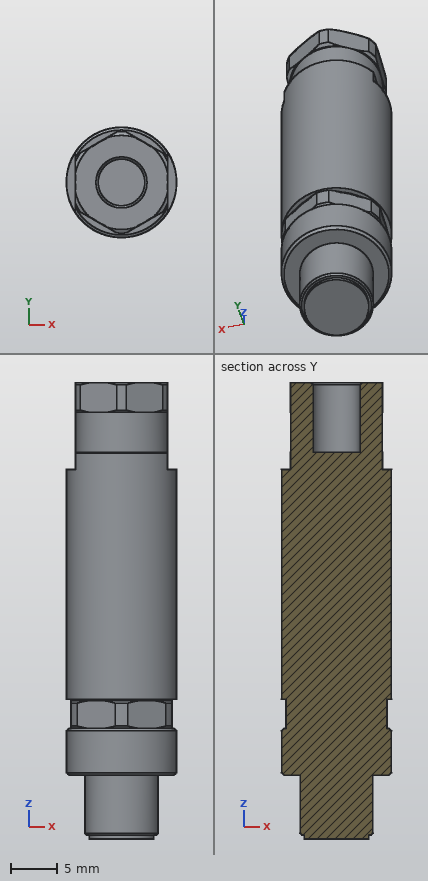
import cadquery as cq

TIP_HEIGHT = 0.45
COLLAR_BOTTOM = 6.95
COLLAR_TOP = 12.05
NUT_TOP = 15.05
BODY_BOTTOM = 15.2
BODY_TOP = 42.05
CAP_BOTTOM = 46.4
TOTAL_HEIGHT = 49.6

BODY_DIAMETER = 12.0
NECK_DIAMETER = 10.0
PLUG_DIAMETER = 8.0
TIP_DIAMETER = 7.05
PLUG_CHAMFER = 0.2
COLLAR_CHAMFER = 0.3
BODY_RIM_WIDTH = 0.3
BODY_RIM_HEIGHT = 0.15

CAP_FLATS = NECK_DIAMETER
CAP_CORNERS = 11.0
NUT_FLATS = 11.0
NUT_CORNERS = BODY_DIAMETER
SPACER_DIAMETER = NUT_FLATS
HEX_CHAMFER_WIDTH = 0.4
HEX_CHAMFER_HEIGHT = 0.25

WRENCH_FLATS = NECK_DIAMETER
WRENCH_HEIGHT = 1.9

BORE_DIAMETER = 5.05
BORE_DEPTH = TOTAL_HEIGHT - BODY_TOP
BORE_CHAMFER = 0.25


def cylinder(diameter, bottom, top):
    return cq.Workplane("XY").workplane(offset=bottom).circle(diameter / 2).extrude(top - bottom)


def chamfered_hexagon(across_flats, across_corners, bottom, top):
    """Hexagon with flats facing -X and +X, its corners turned round and bevelled at both ends."""
    prism = (
        cq.Workplane("XY")
        .workplane(offset=bottom)
        .polygon(6, across_flats, circumscribed=True)
        .extrude(top - bottom)
    )
    envelope = cylinder(across_corners, bottom, top)
    envelope = envelope.faces(">Z").edges().chamfer(HEX_CHAMFER_HEIGHT, HEX_CHAMFER_WIDTH)
    envelope = envelope.faces("<Z").edges().chamfer(HEX_CHAMFER_HEIGHT, HEX_CHAMFER_WIDTH)
    return prism.intersect(envelope)


def make_plug():
    tip = cylinder(TIP_DIAMETER, 0, TIP_HEIGHT)
    barrel = cylinder(PLUG_DIAMETER, TIP_HEIGHT, COLLAR_BOTTOM)
    return barrel.faces("<Z").edges().chamfer(PLUG_CHAMFER).union(tip)


def make_collar():
    collar = cylinder(BODY_DIAMETER, COLLAR_BOTTOM, COLLAR_TOP)
    return collar.faces("<Z or >Z").edges().chamfer(COLLAR_CHAMFER)


def make_body():
    body = cylinder(BODY_DIAMETER, BODY_BOTTOM, BODY_TOP)
    body = body.faces(">Z").edges().chamfer(BODY_RIM_HEIGHT, BODY_RIM_WIDTH)
    flatted_end = (
        cq.Workplane("XY")
        .workplane(offset=BODY_TOP - WRENCH_HEIGHT)
        .rect(BODY_DIAMETER, BODY_DIAMETER)
        .rect(WRENCH_FLATS, BODY_DIAMETER)
        .extrude(WRENCH_HEIGHT)
    )
    return body.cut(flatted_end)


def cut_bore(part):
    bore = cylinder(BORE_DIAMETER, TOTAL_HEIGHT - BORE_DEPTH, TOTAL_HEIGHT)
    part = part.cut(bore)
    bore_rim = part.faces(">Z").edges("%CIRCLE").edges(cq.selectors.RadiusNthSelector(0))
    return bore_rim.chamfer(BORE_CHAMFER)


lock_nut = chamfered_hexagon(NUT_FLATS, NUT_CORNERS, COLLAR_TOP, NUT_TOP)
spacer = cylinder(SPACER_DIAMETER, NUT_TOP, BODY_BOTTOM)
body = make_body()
neck = cylinder(NECK_DIAMETER, BODY_TOP, CAP_BOTTOM)
cap = chamfered_hexagon(CAP_FLATS, CAP_CORNERS, CAP_BOTTOM, TOTAL_HEIGHT)

connector = make_plug()
for section in (make_collar(), lock_nut, spacer, body, neck, cap):
    connector = connector.union(section)
result = cut_bore(connector)